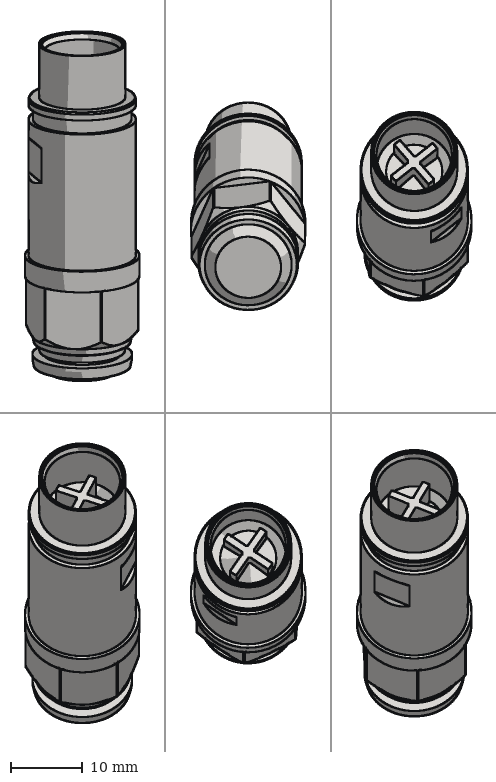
import cadquery as cq
import math

total_height = 47.75
body_radius = 7.5
collar_diameter = 16.0
collar_radius = collar_diameter / 2
wrench_flat_distance = 6.95

tube_radius = 6.0
rim_inner_radius = 5.75
rim_chamfer = 0.15
lead_in_depth = 0.95
bore_radius = 5.25

flange_top = 39.95
flange_bottom = 38.8
flange_chamfer_width = 0.15
flange_chamfer_height = 0.3
neck_radius = 6.88
body_top = 36.75

flat_height = 4.95
flat_center_z = 31.45

collar_top = 16.95
collar_bottom = 13.95
nut_corner_radius = 7.97
nut_bottom = 5.35
nut_chamfer_top = 6.5

upper_ring_bottom = 4.45
upper_ring_bottom_radius = 6.8
lower_ring_radius = 6.15
lower_ring_shoulder_radius = 5.85
lower_ring_shoulder = 4.15
lower_ring_bottom = 3.1
lower_ring_bottom_radius = 5.95
groove_radius = 4.95
groove_foot_radius = 5.3
cap_top = 2.6
cap_radius = 6.95
cap_edge = 2.0
cap_base = 0.95
cap_base_radius = 6.8
cap_cone_radius = 6.05
cap_end_radius = 4.6

funnel_top = flange_top
funnel_depth = 0.75
funnel_bottom = funnel_top - funnel_depth
funnel_bottom_radius = 3.9
center_cone_height = 0.95
cross_top = 43.5
cross_radius = 3.75
cross_width = 1.05
cross_corner_fillet = 0.25


def revolve_profile(points):
    """Revolve (radius, z) points, closed along the axis, about Z."""
    return cq.Workplane("XZ").polyline(points).close().revolve(360, (0, 0), (0, 1))


def make_outer_body():
    """Collar, main body, neck, flange and entry tube."""
    return revolve_profile([
        (0, collar_bottom),
        (collar_radius, collar_bottom),
        (collar_radius, collar_top),
        (body_radius, collar_top),
        (body_radius, body_top),
        (neck_radius, body_top),
        (neck_radius, flange_bottom),
        (body_radius, flange_bottom),
        (body_radius, flange_top - flange_chamfer_height),
        (body_radius - flange_chamfer_width, flange_top),
        (tube_radius, flange_top),
        (tube_radius, total_height),
        (0, total_height),
    ])


def make_hex_nut():
    """Hex prism with two corners on the X axis, rounded corners and a conical lower end."""
    corner_diameter = 2 * wrench_flat_distance / math.cos(math.pi / 6)
    prism = (
        cq.Workplane("XY").workplane(offset=nut_bottom)
        .polygon(6, corner_diameter).extrude(collar_bottom - nut_bottom)
    )
    envelope = revolve_profile([
        (0, nut_bottom),
        (wrench_flat_distance, nut_bottom),
        (nut_corner_radius, nut_chamfer_top),
        (nut_corner_radius, collar_bottom),
        (0, collar_bottom),
    ])
    return prism.intersect(envelope)


def make_clamping_end():
    """End cap, groove and the two tapered rings below the nut."""
    return revolve_profile([
        (0, 0),
        (cap_end_radius, 0),
        (cap_cone_radius, cap_base),
        (cap_base_radius, cap_base),
        (cap_radius, cap_edge),
        (cap_radius, cap_top),
        (groove_foot_radius, cap_top),
        (groove_radius, lower_ring_bottom),
        (lower_ring_bottom_radius, lower_ring_bottom),
        (lower_ring_radius, lower_ring_shoulder),
        (lower_ring_shoulder_radius, upper_ring_bottom),
        (upper_ring_bottom_radius, upper_ring_bottom),
        (wrench_flat_distance, nut_bottom),
        (0, nut_bottom),
    ])


def make_bore():
    """Bore with a chamfered lead-in, a funnel floor and a raised central cone."""
    lead_in_radius = rim_inner_radius - rim_chamfer
    return revolve_profile([
        (0, funnel_bottom + center_cone_height),
        (funnel_bottom_radius, funnel_bottom),
        (bore_radius, funnel_top),
        (bore_radius, total_height - lead_in_depth),
        (lead_in_radius, total_height - rim_chamfer),
        (rim_inner_radius, total_height),
        (0, total_height),
    ])


def make_cross():
    """Upright cross of two arms with rounded inner corners, standing on the central cone."""
    height = cross_top - funnel_bottom
    plane = cq.Workplane("XY").workplane(offset=funnel_bottom)
    arm_x = plane.rect(2 * bore_radius, cross_width).extrude(height)
    arm_y = plane.rect(cross_width, 2 * bore_radius).extrude(height)
    inner_corners = cq.selectors.BoxSelector(
        (-cross_width, -cross_width, funnel_bottom),
        (cross_width, cross_width, cross_top),
    )
    cross = arm_x.union(arm_y).edges("|Z").edges(inner_corners).fillet(cross_corner_fillet)
    return cross.intersect(plane.circle(cross_radius).extrude(height))


def make_flat_cutter(side):
    """Pocket with 45-degree ends that leaves a flat on the +Y or -Y side."""
    depth = collar_radius - wrench_flat_distance
    half_height = flat_height / 2
    outline = [
        (side * wrench_flat_distance, flat_center_z - half_height),
        (side * collar_radius, flat_center_z - half_height - depth),
        (side * collar_radius, flat_center_z + half_height + depth),
        (side * wrench_flat_distance, flat_center_z + half_height),
    ]
    return cq.Workplane("YZ").polyline(outline).close().extrude(body_radius, both=True)


result = make_outer_body().union(make_hex_nut()).union(make_clamping_end())
result = result.cut(make_bore()).union(make_cross())
for side in (-1, 1):
    result = result.cut(make_flat_cutter(side))